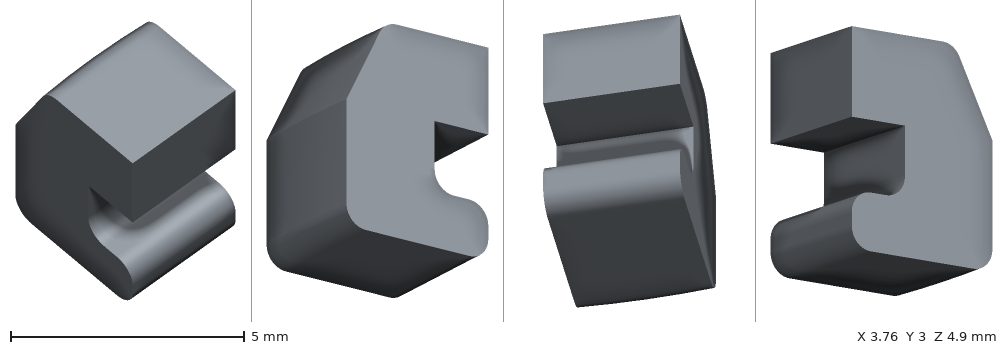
import cadquery as cq
import math

length = 3.76
width = 3.0
height = 4.9

nose_radius = 20.0
slope_start = 2.9
slope_angle = 26.6

notch_depth = 1.4
notch_floor = 1.3
notch_ceiling = 2.9

corner_radius = 0.5


def make_nose_disc():
    """Large disc whose rim has the nose profile, with rounded rim edges."""
    setback = (height - slope_start) * math.tan(math.radians(slope_angle))
    axis_x = nose_radius - length
    disc = (
        cq.Workplane("XZ")
        .moveTo(axis_x, 0)
        .lineTo(-length, 0)
        .lineTo(-length, slope_start)
        .lineTo(setback - length, height)
        .lineTo(axis_x, height)
        .close()
        .revolve(360, (axis_x, 0), (axis_x, 1))
    )
    return disc.edges("%CIRCLE and (<Z or >Z)").fillet(corner_radius)


def make_block():
    """Straight block with the notch and the rounded lip at the back."""
    block = cq.Workplane("XY").box(length, width, height, centered=(False, True, False))
    block = block.translate((-length, 0, 0))
    notch = (
        cq.Workplane("XY")
        .box(notch_depth, width, notch_ceiling - notch_floor, centered=(False, True, False))
        .translate((-notch_depth, 0, notch_floor))
        .edges("|Y and <X and <Z")
        .fillet(corner_radius)
    )
    block = block.cut(notch)
    lip_edges = cq.selectors.BoxSelector(
        (-corner_radius, -width, -corner_radius),
        (corner_radius, width, notch_floor + corner_radius),
    )
    return block.edges("|Y").edges(lip_edges).fillet(corner_radius)


result = make_block().intersect(make_nose_disc())